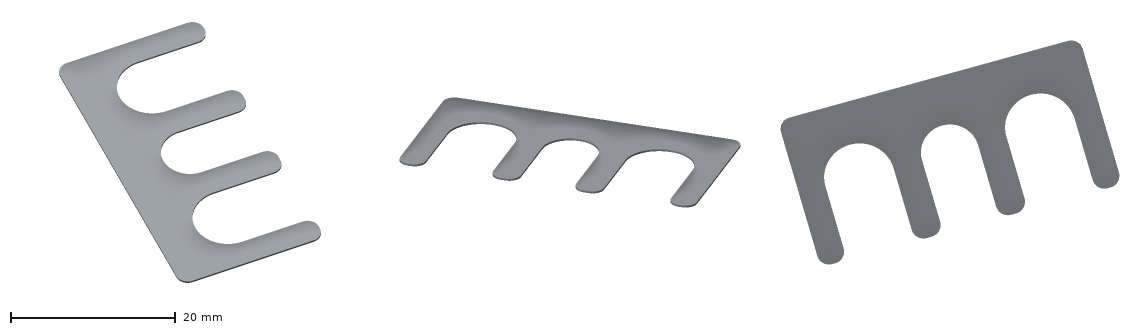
import cadquery as cq

length = 38.1
depth = 19.05
thickness = 0.25
corner_radius = 1.5

slot_pitch = 11.43
outer_slot_width = 8.6
middle_slot_width = 7.1
slot_arc_center_y = 0.0


def slot_cutter(center_x, width):
    """Full-thickness slot: straight to the +Y edge with a semicircular bottom."""
    radius = width / 2
    open_y = depth / 2
    return (
        cq.Workplane("XY")
        .moveTo(center_x - radius, open_y)
        .lineTo(center_x - radius, slot_arc_center_y)
        .threePointArc(
            (center_x, slot_arc_center_y - radius),
            (center_x + radius, slot_arc_center_y),
        )
        .lineTo(center_x + radius, open_y)
        .close()
        .extrude(thickness)
    )


plate = cq.Workplane("XY").box(length, depth, thickness, centered=(True, True, False))

for center_x, width in (
    (-slot_pitch, outer_slot_width),
    (0, middle_slot_width),
    (slot_pitch, outer_slot_width),
):
    plate = plate.cut(slot_cutter(center_x, width))

finger_tip_edges = plate.faces(">Y").edges("|Z")
rear_corner_edges = plate.faces("<Y").edges("|Z")
result = plate.newObject(finger_tip_edges.vals() + rear_corner_edges.vals()).fillet(corner_radius)